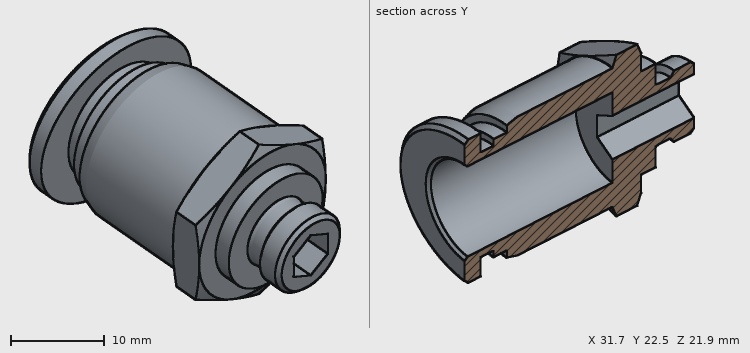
import cadquery as cq
import math


collar_width_y = 22.5
collar_height_z = 19.5
collar_end = 2.25
collar_chamfer = 0.5

neck_end = 4.0
sleeve_end = 5.8
cone_end = 7.3
hex_start = 20.4
hex_end = 24.4
flange_end = 26.4
lip_end = 26.9
relief_end = 28.4
thread_start = 28.9
overall_length = 31.7

neck_radius = 7.15
sleeve_radius = 8.05
cone_radius = 9.0
body_radius = 9.45
flange_radius = 7.05
lip_radius = 4.25
relief_radius = 4.15
thread_radius = 4.864
thread_chamfer = 0.5

corners_per_flats = 1 / math.cos(math.radians(30))

hex_across_flats = 19.0
hex_across_corners = hex_across_flats * corners_per_flats
hex_chamfer_length = 0.55

bore_radius = 6.1
bore_mouth_radius = 6.5
bore_mouth_depth = bore_mouth_radius - bore_radius
bore_depth = hex_start
socket_across_flats = 5.1


def revolve_about_x(points):
    """Revolve an (axial, radial) outline about the X axis."""
    return cq.Workplane("XY").polyline(points).close().revolve(360, (0, 0, 0), (1, 0, 0))


def hex_prism(start, end, across_flats):
    """Hexagonal prism along X with two corners on the Z axis."""
    return (
        cq.Workplane("YZ", origin=(start, 0, 0))
        .transformed(rotate=(0, 0, 90))
        .polygon(6, across_flats * corners_per_flats)
        .extrude(end - start)
    )


def make_collar():
    """Elliptical release collar with a chamfered front edge."""
    disc = cq.Workplane("YZ").ellipse(collar_width_y / 2, collar_height_z / 2).extrude(collar_end)
    return disc.faces("<X").edges().chamfer(collar_chamfer)


def make_turned_body():
    """Stepped body from the neck behind the collar to the threaded end."""
    return revolve_about_x([
        (0, 0),
        (0, neck_radius),
        (neck_end, neck_radius),
        (neck_end, sleeve_radius),
        (sleeve_end, sleeve_radius),
        (sleeve_end, cone_radius),
        (cone_end, body_radius),
        (hex_start, body_radius),
        (hex_start, flange_radius),
        (flange_end, flange_radius),
        (flange_end, lip_radius),
        (lip_end, relief_radius),
        (relief_end, relief_radius),
        (thread_start, thread_radius),
        (overall_length - thread_chamfer, thread_radius),
        (overall_length, thread_radius - thread_chamfer),
        (overall_length, 0),
    ])


def make_wrench_hex():
    """Hexagon with its corners turned off conically at both ends."""
    corner_radius = hex_across_corners / 2
    face_radius = hex_across_flats / 2
    turning = revolve_about_x([
        (hex_start, 0),
        (hex_start, face_radius),
        (hex_start + hex_chamfer_length, corner_radius),
        (hex_end - hex_chamfer_length, corner_radius),
        (hex_end, face_radius),
        (hex_end, 0),
    ])
    return hex_prism(hex_start, hex_end, hex_across_flats).intersect(turning)


def make_tube_bore():
    """Blind tube bore with a chamfered mouth."""
    return revolve_about_x([
        (0, 0),
        (0, bore_mouth_radius),
        (bore_mouth_depth, bore_radius),
        (bore_depth, bore_radius),
        (bore_depth, 0),
    ])


socket = hex_prism(0, overall_length, socket_across_flats)

result = make_turned_body().union(make_collar()).union(make_wrench_hex())
result = result.cut(make_tube_bore()).cut(socket)